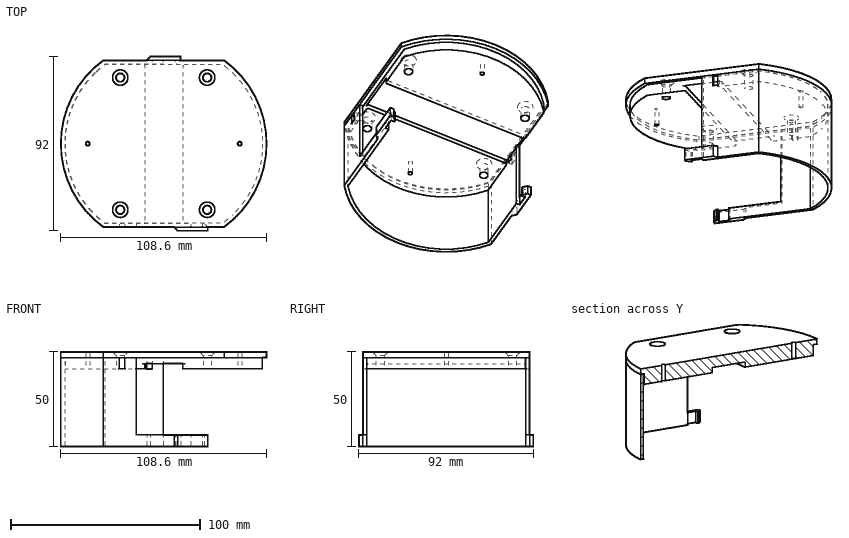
import cadquery as cq
import math

case_radius = 54.3
flat_half_width = 44.0
total_depth = 92.0
total_height = 50.0
plate_thickness = 3.0
housing_height = total_height - plate_thickness

wall = 2.0
front_wall_end = -14.5
back_wall_end = -0.1

slot_width = 2.9
slot_to_wall_end = 6.0

arm_height = 6.2
lip_outer_half_width = total_depth / 2
lip_length = 17.9
front_lip_start = 5.4
back_lip_start = -9.0
hook_recess_start = 8.9
hook_thickness = 2.9
hook_tip_width = 0.9

skirt_gap = 0.2
skirt_inset = wall + skirt_gap
skirt_height = 6.0
skirt_edge_radius = 1.1
channel_width = 20.0
channel_height = 2.8

screw_x = 22.9
screw_y = 34.9
screw_diameter = 4.3
countersink_diameter = 8.1
countersink_angle = 90.0
pin_x = 40.1
pin_diameter = 2.1


def flatted_disc(inset, base_z, height):
    """Disc with flats at +Y and -Y, its outline moved inward by inset."""
    radius = case_radius - inset
    flat = flat_half_width - inset
    corner_x = math.sqrt(radius**2 - flat**2)
    return (
        cq.Workplane("XY", origin=(0, 0, base_z))
        .moveTo(-corner_x, -flat)
        .lineTo(corner_x, -flat)
        .threePointArc((radius, 0), (corner_x, flat))
        .lineTo(-corner_x, flat)
        .threePointArc((-radius, 0), (-corner_x, -flat))
        .close()
        .extrude(height)
    )


def open_end_block(start_x, side):
    """Block over everything beyond start_x at +Y (side 1) or -Y (side -1)."""
    return (
        cq.Workplane("XY", origin=(start_x, 0, 0))
        .rect(2 * case_radius, side * case_radius, centered=False)
        .extrude(total_height)
    )


def latch_slot(wall_end, side):
    """Slot through a flat wall, open at the top edge of the housing."""
    center_x = wall_end - slot_to_wall_end - slot_width / 2
    return (
        cq.Workplane("XY", origin=(center_x, side * (flat_half_width - wall / 2), housing_height))
        .box(slot_width, 2 * wall, 2 * skirt_height)
    )


def clip_arm(wall_end, lip_start, side):
    """Arm that continues a flat wall at its foot, with an outer lip and an inner hook at its end."""
    inner = flat_half_width - wall
    outer = flat_half_width
    lip = lip_outer_half_width
    lip_height = lip - outer
    end_x = lip_start + lip_length
    hook_x = end_x - hook_thickness
    tip_x = hook_x + hook_tip_width
    bevel = end_x - tip_x
    arm_start = min(wall_end, lip_start) - wall
    outline = [
        (arm_start, inner),
        (lip_start + hook_recess_start, inner),
        (lip_start + hook_recess_start, outer),
        (hook_x, outer),
        (hook_x, inner),
        (tip_x, inner),
        (end_x, inner + bevel),
        (end_x, lip),
        (lip_start + lip_height, lip),
        (lip_start, outer),
        (arm_start, outer),
    ]
    return cq.Workplane("XY").polyline([(x, side * y) for x, y in outline]).close().extrude(arm_height)


def build_housing():
    shell = flatted_disc(0, 0, housing_height).cut(flatted_disc(wall, 0, housing_height))
    sides = [
        (front_wall_end, front_lip_start, -1),
        (back_wall_end, back_lip_start, 1),
    ]
    for wall_end, lip_start, side in sides:
        shell = shell.cut(open_end_block(wall_end, side))
        shell = shell.cut(latch_slot(wall_end, side))
        shell = shell.union(clip_arm(wall_end, lip_start, side))
    return shell


def build_skirt():
    """Block under the plate with rounded upright edges, parted in its lower layer by a channel along Y."""
    base_z = housing_height - skirt_height
    channel = (
        cq.Workplane("XY", origin=(0, 0, base_z))
        .rect(channel_width, 2 * case_radius)
        .extrude(channel_height)
    )
    lower_layer = flatted_disc(skirt_inset, base_z, channel_height).cut(channel)
    upper_layer = flatted_disc(skirt_inset, base_z + channel_height, skirt_height - channel_height)
    lower_layer = lower_layer.edges("|Z").fillet(skirt_edge_radius)
    upper_layer = upper_layer.edges("|Z").fillet(skirt_edge_radius)
    return upper_layer.union(lower_layer)


def build_lid():
    plate = flatted_disc(0, housing_height, plate_thickness)
    screw_points = [(x, y) for x in (-screw_x, screw_x) for y in (-screw_y, screw_y)]
    lid = plate.union(build_skirt())
    lid = (
        lid.faces(">Z").workplane(origin=(0, 0, total_height))
        .pushPoints(screw_points)
        .cskHole(screw_diameter, countersink_diameter, countersink_angle)
    )
    return (
        lid.faces(">Z").workplane(origin=(0, 0, total_height))
        .pushPoints([(-pin_x, 0), (pin_x, 0)])
        .hole(pin_diameter)
    )


housing = build_housing()
lid = build_lid()

result = cq.Compound.makeCompound([housing.solids().val(), lid.solids().val()])